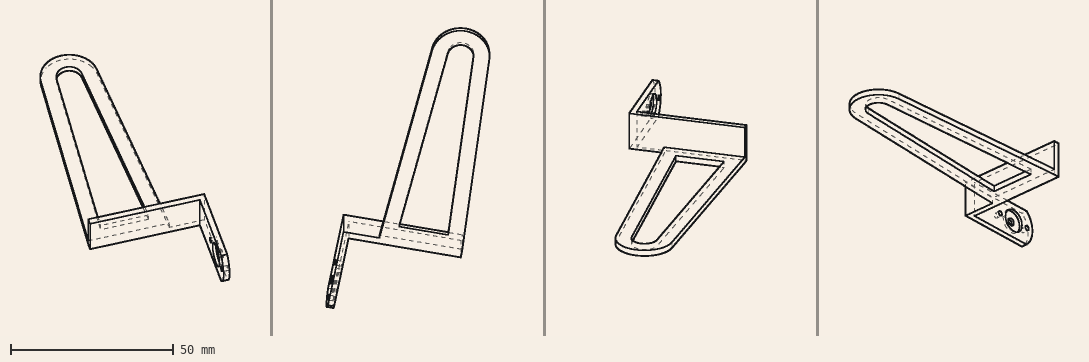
import cadquery as cq
import math

length = 103.4
depth = 37.2
height = 12.0
thickness = 2.0

arm_length = 75.0
arm_root_width = 26.0
tip_radius = 9.0
rim_width = 5.0
arm_center_y = arm_root_width / 2

tab_end_radius = 8.0
hole_x = 94.8
hole_diameter = 2.5
counterbore_diameter = 7.5
counterbore_depth = 1.0
pilot_diameter = 1.5
pilot_offset = 6.1


def loop_outline(root_x, root_half_width, radius):
    """Tapered outline with straight sides tangent to the round tip."""
    run = root_x - tip_radius
    reach = math.hypot(run, root_half_width)
    angle = math.atan2(root_half_width, run) + math.acos(radius / reach)
    tangent_x = tip_radius + radius * math.cos(angle)
    tangent_y = radius * math.sin(angle)
    return (
        cq.Workplane("XY", origin=(0, arm_center_y, 0))
        .moveTo(root_x, root_half_width)
        .lineTo(tangent_x, tangent_y)
        .threePointArc((tip_radius - radius, 0), (tangent_x, -tangent_y))
        .lineTo(root_x, -root_half_width)
        .close()
    )


def make_arm():
    """Flat arm with a window that leaves a rim of constant width."""
    half_width = arm_root_width / 2
    run = arm_length - tip_radius
    reach = math.hypot(run, half_width)
    taper = math.atan2(half_width, run) - math.asin(tip_radius / reach)
    window_half_width = half_width - rim_width * math.tan(taper) - rim_width / math.cos(taper)
    arm = loop_outline(arm_length, half_width, tip_radius).extrude(thickness)
    window = loop_outline(arm_length - rim_width, window_half_width, tip_radius - rim_width)
    return arm.cut(window.extrude(thickness))


def make_wall():
    """Upright plate across the root of the arm."""
    return cq.Workplane("XY").box(thickness, depth, height, centered=False).translate((arm_length, 0, 0))


def make_tab():
    """Upright tab with a counterbored hole between two pilot holes."""
    half_height = height / 2
    end_center_x = length - tab_end_radius
    arc_start_x = end_center_x + math.sqrt(tab_end_radius**2 - half_height**2)
    front_y = depth - thickness
    front_face = cq.Workplane("XZ", origin=(0, front_y, half_height))
    tab = (
        front_face.moveTo(arm_length, -half_height)
        .lineTo(arc_start_x, -half_height)
        .threePointArc((length, 0), (arc_start_x, half_height))
        .lineTo(arm_length, half_height)
        .close()
        .extrude(-thickness)
    )
    through_hole = front_face.center(hole_x, 0).circle(hole_diameter / 2).extrude(-thickness)
    counterbore = front_face.center(hole_x, 0).circle(counterbore_diameter / 2).extrude(-counterbore_depth)
    tab = tab.cut(through_hole).cut(counterbore)
    for side in (-1, 1):
        pilot_x = hole_x + side * pilot_offset
        tab = tab.cut(front_face.center(pilot_x, 0).circle(pilot_diameter / 2).extrude(-thickness))
    return tab


result = make_arm().union(make_wall()).union(make_tab())